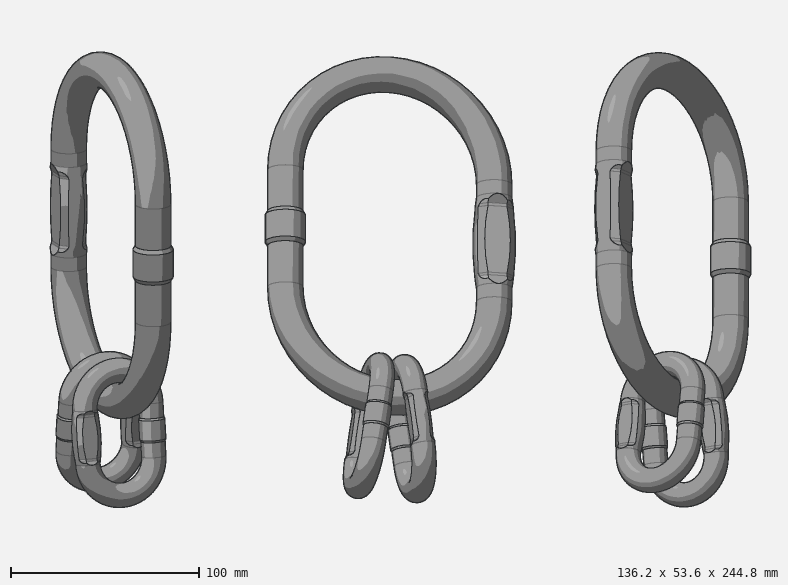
import cadquery as cq
import math

RING = {
    "rod_d": 19.0,
    "inner_width": 95.0,
    "inner_length": 160.0,
    "collar_d": 21.5,
    "collar_half": 7.45,
    "collar_half_base": 9.6,
    "pad_bulge": 1.9,
    "pad_half": 25.0,
    "flat_depth": 7.6,
    "flat_half_mid": 7.0,
    "flat_half_end": 5.2,
    "flat_half_length": 18.5,
    "blend_length": 1.5,
    "blend_rise": 0.25,
    "bevel_slope": 0.85,
}

LINK = {
    "rod_d": 13.0,
    "inner_width": 25.0,
    "inner_length": 54.1,
    "collar_d": 13.97,
    "collar_half": 5.4,
    "collar_half_base": 6.5,
    "pad_bulge": 1.3,
    "pad_half": 14.5,
    "flat_depth": 5.4,
    "flat_half_mid": 4.4,
    "flat_half_end": 3.15,
    "flat_half_length": 11.2,
    "blend_length": 1.3,
    "blend_rise": 0.25,
    "bevel_slope": 0.72,
}

TOTAL_HEIGHT = 244.83
LINK_TILT = 8.0
LINK_OFFSET = 11.4
RUN_OUT = 1.15


def rod_loop(size):
    """Closed round rod with two straight sides and two half-circle ends."""
    rod_d = size["rod_d"]
    bend_r = (size["inner_width"] + rod_d) / 2
    straight_half = (size["inner_length"] - size["inner_width"]) / 2
    path = (
        cq.Workplane("XZ")
        .moveTo(bend_r, -straight_half)
        .lineTo(bend_r, straight_half)
        .threePointArc((0, straight_half + bend_r), (-bend_r, straight_half))
        .lineTo(-bend_r, -straight_half)
        .threePointArc((0, -straight_half - bend_r), (bend_r, -straight_half))
        .close()
    )
    section = cq.Workplane("XY", origin=(bend_r, 0, -straight_half)).circle(rod_d / 2)
    return section.sweep(path)


def weld_collar(size):
    """Raised ring with bevelled ends, around the Z axis."""
    rod_r = size["rod_d"] / 2
    collar_r = size["collar_d"] / 2
    return (
        cq.Workplane("XZ")
        .moveTo(0, -size["collar_half_base"])
        .lineTo(rod_r, -size["collar_half_base"])
        .lineTo(collar_r, -size["collar_half"])
        .lineTo(collar_r, size["collar_half"])
        .lineTo(rod_r, size["collar_half_base"])
        .lineTo(0, size["collar_half_base"])
        .close()
        .revolve(360, (0, 0), (0, 1))
    )


def pad_barrel(size):
    """Barrel-shaped thickening around the Z axis, fading into the rod at both ends."""
    rod_r = size["rod_d"] / 2
    half = size["pad_half"]
    return (
        cq.Workplane("XZ")
        .moveTo(0, -half)
        .lineTo(rod_r, -half)
        .threePointArc((rod_r + size["pad_bulge"], 0), (rod_r, half))
        .lineTo(0, half)
        .close()
        .revolve(360, (0, 0), (0, 1))
    )


def ramp_cut(size, z_start, y_start, run, rise):
    """Stretch of the +Y cut whose bevelled section shifts outward by rise over run."""
    reach = size["rod_d"]
    half = size["flat_half_end"]
    bevel_drop = (reach - half) * size["bevel_slope"]
    section = cq.Wire.makePolygon(
        [
            cq.Vector(-half, y_start, z_start),
            cq.Vector(half, y_start, z_start),
            cq.Vector(reach, y_start - bevel_drop, z_start),
            cq.Vector(reach, y_start + reach, z_start),
            cq.Vector(-reach, y_start + reach, z_start),
            cq.Vector(-reach, y_start - bevel_drop, z_start),
        ],
        close=True,
    )
    return cq.Workplane(cq.Solid.extrudeLinear(section, [], cq.Vector(0, rise, run)))


def bevel_cut(size):
    """Cut along the bowed +X edge of the +Y flat, sloping down away from the flat."""
    reach = size["rod_d"]
    depth = size["flat_depth"]
    half = size["flat_half_length"]
    outline = (
        cq.Workplane("XZ", origin=(0, depth, 0))
        .moveTo(size["flat_half_end"], -half)
        .threePointArc((size["flat_half_mid"], 0), (size["flat_half_end"], half))
        .lineTo(reach, half)
        .lineTo(reach, -half)
        .close()
        .wires()
        .val()
    )
    slope_direction = cq.Vector(depth / size["bevel_slope"], -depth, 0)
    return cq.Workplane(cq.Solid.extrudeLinear(outline, [], slope_direction))


def pad_side_cut(size):
    """Everything removed on the +Y side of the pad: flat, side bevels and end ramps."""
    reach = size["rod_d"]
    depth = size["flat_depth"]
    half = size["flat_half_length"]
    bevel = bevel_cut(size)
    cut = (
        cq.Workplane("XY")
        .box(2 * reach, reach, 2 * half, centered=(True, False, True))
        .translate((0, depth, 0))
        .union(bevel)
        .union(bevel.mirror("YZ"))
    )

    ramp_z = half + size["blend_length"]
    ramp_y = depth + size["blend_rise"]
    ramp_run = (size["pad_half"] - ramp_z) * RUN_OUT
    ramp_rise = (size["rod_d"] / 2 - ramp_y) * RUN_OUT
    blend = ramp_cut(size, half, depth, size["blend_length"], size["blend_rise"])
    ramp = ramp_cut(size, ramp_z, ramp_y, ramp_run, ramp_rise)
    for piece in (blend, ramp):
        cut = cut.union(piece).union(piece.mirror("XY"))
    return cut


def chain_link(size):
    """Link in the XZ plane with its marking pad on -X and its weld collar on +X."""
    side = (size["inner_width"] + size["rod_d"]) / 2
    pad_cut = pad_side_cut(size).translate((-side, 0, 0))
    return (
        rod_loop(size)
        .union(weld_collar(size).translate((side, 0, 0)))
        .union(pad_barrel(size).translate((-side, 0, 0)))
        .cut(pad_cut)
        .cut(pad_cut.mirror("XZ"))
    )


master_ring = chain_link(RING)

ring_top = RING["inner_length"] / 2 + RING["rod_d"]
link_bend_centre = (LINK["inner_length"] + LINK["rod_d"]) / 2
link_drop = link_bend_centre * math.cos(math.radians(LINK_TILT)) + LINK["rod_d"] / 2
link_z = ring_top - TOTAL_HEIGHT + link_drop


def small_link(turn):
    """One small link, its place around the Z axis given by turn in degrees."""
    return (
        chain_link(LINK)
        .rotate((0, 0, 0), (0, 0, 1), -90)
        .rotate((0, 0, 0), (0, 1, 0), LINK_TILT)
        .translate((-LINK_OFFSET, 0, link_z))
        .rotate((0, 0, 0), (0, 0, 1), turn)
    )


small_links = [small_link(turn) for turn in (0, 180)]

bodies = [master_ring, *small_links]
result = cq.Compound.makeCompound([body.solids().val() for body in bodies])